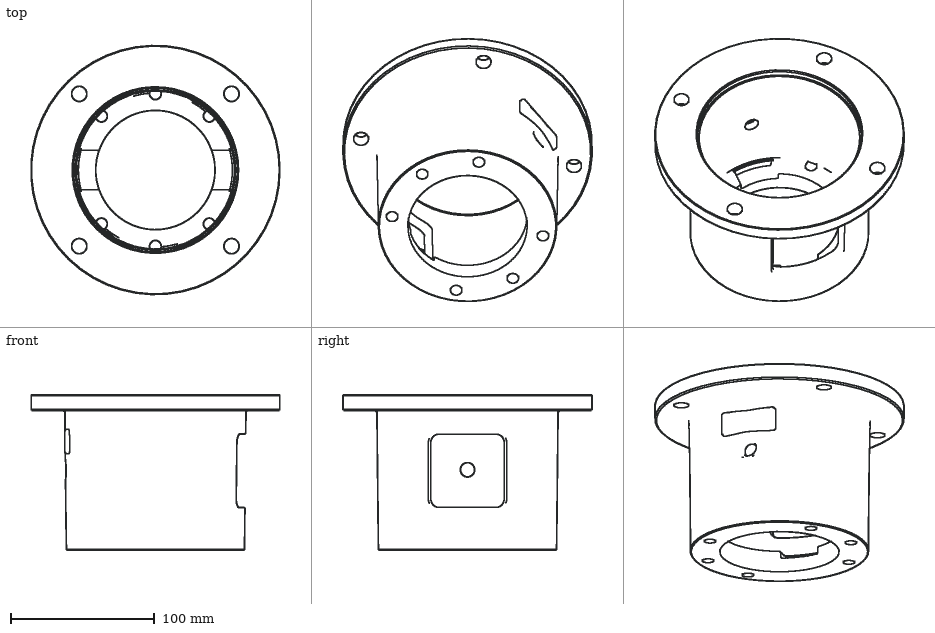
import cadquery as cq
import math

FLANGE_RADIUS = 86.5
FLANGE_THICKNESS = 11.0
FLANGE_TOP_CHAMFER = 0.5
FLANGE_BOTTOM_CHAMFER = 1.0
FLANGE_HOLE_SPACING = 105.7
FLANGE_HOLE_DIAMETER = 10.4

TOTAL_HEIGHT = 108.0
BARREL_TOP_RADIUS = 63.0
BARREL_BOTTOM_RADIUS = 62.0
BARREL_BOTTOM_CHAMFER = 0.7
NECK_FILLET = 1.4

PILOT_RADIUS = 56.9
PILOT_DEPTH = 4.5
PILOT_CHAMFER = 0.9
CAVITY_TOP_RADIUS = 55.7
CAVITY_BOTTOM_RADIUS = 54.8
CAVITY_FILLET = 1.4

FLOOR_THICKNESS = 15.0
FLOOR_BORE_RADIUS = 41.3
FLOOR_HOLE_DIAMETER = 8.0
FLOOR_HOLE_CIRCLE_RADIUS = 53.0
FLOOR_HOLE_ANGLES = (45, 90, 135, 225, 270, 315)

CHANNEL_WIDTH = 27.7
CHANNEL_DEPTH = 5.0
CHANNEL_ROOT_FILLET = 1.4
CHANNEL_EDGE_FILLET = 0.9

WINDOW_WIDTH = 50.9
WINDOW_BOTTOM = 29.8
WINDOW_TOP = 80.6
WINDOW_CORNER_RADIUS = 5.7
WINDOW_EDGE_FILLET = 1.2

PAD_WIDTH = 39.5
PAD_BOTTOM = 67.1
PAD_TOP = 83.9
PAD_CORNER_RADIUS = 2.2
PAD_EDGE_FILLET = 1.4
PAD_ROOT_X = -58.0

PORT_HEIGHT = 55.9
PORT_OUTER_RADIUS = 5.7
PORT_INNER_RADIUS = 4.8
PORT_MOUTH_FILLET = 2.0

FLANGE_BOTTOM = TOTAL_HEIGHT - FLANGE_THICKNESS
PILOT_FLOOR = TOTAL_HEIGHT - PILOT_DEPTH

QUARTER_ARC_DIP = 1 - math.cos(math.radians(45))


def barrel_radius(height):
    """Outer radius of the tapered barrel at a height."""
    taper = (BARREL_TOP_RADIUS - BARREL_BOTTOM_RADIUS) / FLANGE_BOTTOM
    return BARREL_BOTTOM_RADIUS + taper * height


def make_flange():
    return (
        cq.Workplane("XY")
        .workplane(offset=FLANGE_BOTTOM)
        .circle(FLANGE_RADIUS)
        .extrude(FLANGE_THICKNESS)
        .faces(">Z")
        .edges()
        .chamfer(FLANGE_TOP_CHAMFER)
        .faces("<Z")
        .edges()
        .chamfer(FLANGE_BOTTOM_CHAMFER)
    )


def make_barrel():
    """Solid tapered barrel, flaring into the flange through the neck fillet."""
    neck_bottom = FLANGE_BOTTOM - NECK_FILLET
    neck_radius = barrel_radius(neck_bottom)
    chamfer_radius = BARREL_BOTTOM_RADIUS - BARREL_BOTTOM_CHAMFER
    fillet_mid = NECK_FILLET * QUARTER_ARC_DIP
    profile = (
        cq.Workplane("XZ")
        .lineTo(chamfer_radius, 0)
        .lineTo(barrel_radius(BARREL_BOTTOM_CHAMFER), BARREL_BOTTOM_CHAMFER)
        .lineTo(neck_radius, neck_bottom)
        .threePointArc(
            (neck_radius + fillet_mid, FLANGE_BOTTOM - fillet_mid),
            (neck_radius + NECK_FILLET, FLANGE_BOTTOM),
        )
        .lineTo(0, FLANGE_BOTTOM)
        .close()
    )
    return profile.revolve(360, (0, 0), (0, 1))


def make_cavity():
    """Tapered cavity with a rounded root, opening into the wider pilot recess."""
    cavity = (
        cq.Workplane("XZ")
        .moveTo(0, FLOOR_THICKNESS)
        .lineTo(CAVITY_BOTTOM_RADIUS, FLOOR_THICKNESS)
        .lineTo(CAVITY_TOP_RADIUS, PILOT_FLOOR)
        .lineTo(0, PILOT_FLOOR)
        .close()
        .revolve(360, (0, 0), (0, 1))
        .faces("<Z")
        .edges()
        .fillet(CAVITY_FILLET)
    )
    pilot = (
        cq.Workplane("XY")
        .workplane(offset=PILOT_FLOOR)
        .circle(PILOT_RADIUS)
        .extrude(PILOT_DEPTH)
    )
    mouth = (
        cq.Workplane("XY")
        .workplane(offset=TOTAL_HEIGHT - PILOT_CHAMFER)
        .circle(PILOT_RADIUS)
        .workplane(offset=PILOT_CHAMFER)
        .circle(PILOT_RADIUS + PILOT_CHAMFER)
        .loft()
    )
    return cavity.union(pilot).union(mouth)


def make_channel():
    """Channel along X, flared at the floor surface and closed by the cavity wall."""
    half_width = CHANNEL_WIDTH / 2
    channel_bottom = FLOOR_THICKNESS - CHANNEL_DEPTH
    flare_half_width = half_width + CHANNEL_EDGE_FILLET
    arc_dip = CHANNEL_EDGE_FILLET * QUARTER_ARC_DIP
    flare_start = FLOOR_THICKNESS - CHANNEL_EDGE_FILLET
    prism = (
        cq.Workplane("YZ")
        .workplane(offset=-BARREL_TOP_RADIUS)
        .moveTo(-half_width, channel_bottom)
        .lineTo(half_width, channel_bottom)
        .lineTo(half_width, flare_start)
        .threePointArc(
            (half_width + arc_dip, FLOOR_THICKNESS - arc_dip),
            (flare_half_width, FLOOR_THICKNESS),
        )
        .lineTo(-flare_half_width, FLOOR_THICKNESS)
        .threePointArc(
            (-half_width - arc_dip, FLOOR_THICKNESS - arc_dip),
            (-half_width, flare_start),
        )
        .close()
        .extrude(2 * BARREL_TOP_RADIUS)
    )
    limit = cq.Workplane("XY").circle(CAVITY_BOTTOM_RADIUS).extrude(FLOOR_THICKNESS)
    return prism.intersect(limit).faces("<Z").edges().fillet(CHANNEL_ROOT_FILLET)


def make_window():
    return (
        cq.Workplane("YZ")
        .center(0, (WINDOW_BOTTOM + WINDOW_TOP) / 2)
        .rect(WINDOW_WIDTH, WINDOW_TOP - WINDOW_BOTTOM)
        .extrude(FLANGE_RADIUS)
        .edges("|X")
        .fillet(WINDOW_CORNER_RADIUS)
    )


def make_pad():
    """Flat-faced pad, its face level with the widest part of the barrel."""
    return (
        cq.Workplane("YZ")
        .workplane(offset=-BARREL_TOP_RADIUS)
        .center(0, (PAD_BOTTOM + PAD_TOP) / 2)
        .rect(PAD_WIDTH, PAD_TOP - PAD_BOTTOM)
        .extrude(BARREL_TOP_RADIUS + PAD_ROOT_X)
        .edges("|X")
        .fillet(PAD_CORNER_RADIUS)
        .faces("<X")
        .edges()
        .fillet(PAD_EDGE_FILLET)
    )


def make_port():
    """Radial port narrowing from the outside of the wall to the cavity."""
    return (
        cq.Workplane("YZ", origin=(-BARREL_TOP_RADIUS, 0, PORT_HEIGHT))
        .circle(PORT_OUTER_RADIUS)
        .workplane(offset=BARREL_TOP_RADIUS - CAVITY_BOTTOM_RADIUS)
        .circle(PORT_INNER_RADIUS)
        .loft()
    )


def make_flange_holes():
    return (
        cq.Workplane("XY")
        .workplane(offset=FLANGE_BOTTOM)
        .rect(FLANGE_HOLE_SPACING, FLANGE_HOLE_SPACING, forConstruction=True)
        .vertices()
        .circle(FLANGE_HOLE_DIAMETER / 2)
        .extrude(FLANGE_THICKNESS)
    )


def make_floor_holes():
    """Mounting holes through the floor and the fillet around its rim."""
    holes = cq.Workplane("XY")
    for angle in FLOOR_HOLE_ANGLES:
        hole = (
            cq.Workplane("XY")
            .center(FLOOR_HOLE_CIRCLE_RADIUS, 0)
            .circle(FLOOR_HOLE_DIAMETER / 2)
            .extrude(FLOOR_THICKNESS + CAVITY_FILLET)
        )
        holes = holes.add(hole.rotate((0, 0, 0), (0, 0, 1), angle))
    return holes.combine()


def edges_in(x_range, z_range):
    """Selector for the edges centred within a range of X and a range of Z."""
    return cq.selectors.BoxSelector(
        (x_range[0], -FLANGE_RADIUS, z_range[0]),
        (x_range[1], FLANGE_RADIUS, z_range[1]),
    )


body = make_flange().union(make_barrel()).union(make_pad())

window_rim = edges_in(
    (BARREL_BOTTOM_RADIUS / 2, BARREL_TOP_RADIUS),
    (WINDOW_BOTTOM - WINDOW_EDGE_FILLET, WINDOW_TOP + WINDOW_EDGE_FILLET),
)
port_rim = edges_in(
    (-BARREL_TOP_RADIUS, -CAVITY_TOP_RADIUS),
    (PORT_HEIGHT - PORT_OUTER_RADIUS, PORT_HEIGHT + PORT_OUTER_RADIUS),
)
body = body.cut(make_window()).edges(window_rim).fillet(WINDOW_EDGE_FILLET)
body = body.cut(make_port()).edges(port_rim).fillet(PORT_MOUTH_FILLET)

body = body.cut(make_cavity()).cut(make_channel())
floor_bore = cq.Workplane("XY").circle(FLOOR_BORE_RADIUS).extrude(FLOOR_THICKNESS)

result = body.cut(floor_bore).cut(make_flange_holes()).cut(make_floor_holes())